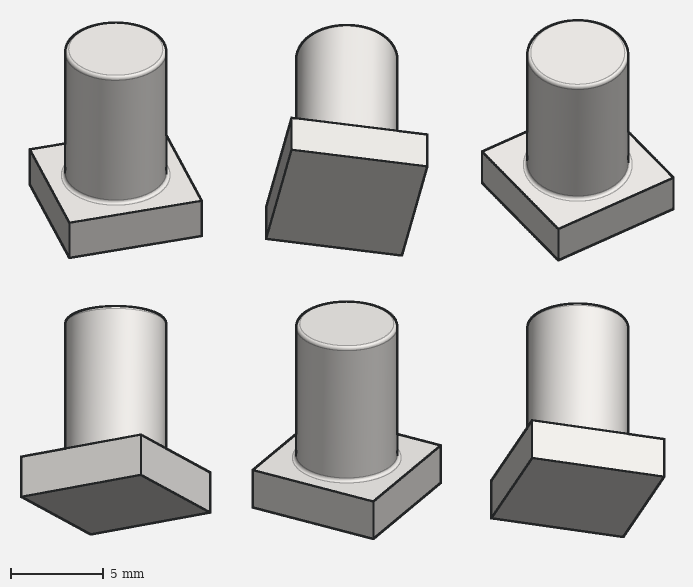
import cadquery as cq

total_height = 10.5
base_side = 7.5
base_height = 2.3
pin_diameter = 5.5
edge_radius = 0.2

pin_radius = pin_diameter / 2

base = cq.Workplane("XY").box(base_side, base_side, base_height, centered=(True, True, False))

pin = cq.Workplane("XY").circle(pin_radius).extrude(total_height)
body = base.union(pin)

body = body.faces(">Z").edges().fillet(edge_radius)

root_edge = cq.selectors.NearestToPointSelector((0, 0, base_height))
result = body.edges("%CIRCLE").edges(root_edge).fillet(edge_radius)